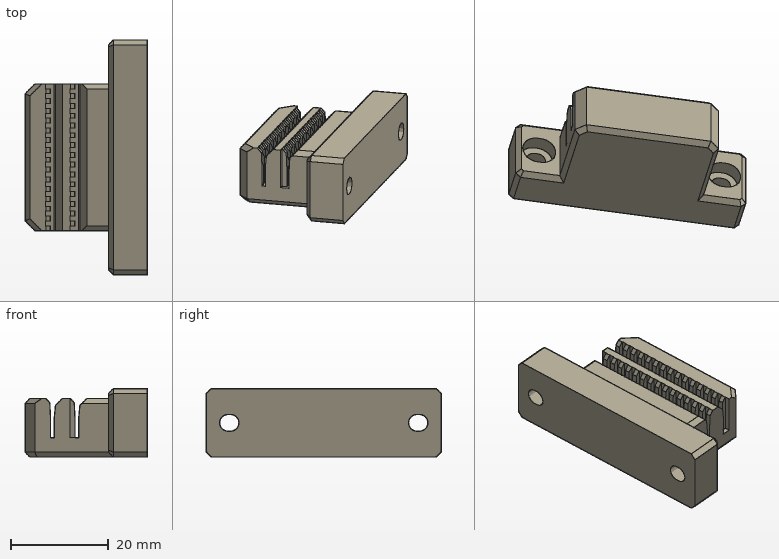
import cadquery as cq

LENGTH = 48.0
DEPTH = 25.0
HEIGHT = 14.0
EDGE_CHAMFER = 1.0

PLATE_THICKNESS = 7.95
PLATE_FRONT = DEPTH - PLATE_THICKNESS

BLOCK_WIDTH = 30.0
BLOCK_HEIGHT = 12.0
CORNER_CHAMFER = 2.0

SLOT_ROOTS = (4.2, 9.15)
SLOT_FLOOR = 4.0
TAPER_START = 8.0

SLOT_WALL = 1.8
MOUTH_WALL = 2.0
MOUTH_CHAMFER = 1.45
MOUTH_TOP = MOUTH_WALL + MOUTH_CHAMFER

TOOTH_TIP = 1.05
TOOTH_SHOULDER = 0.9
TOOTH_SHOULDER_DROP = 0.9
TOOTH_TOP = 0.1
TEETH_PERIODS = 15
TOOTH_PITCH = BLOCK_WIDTH / TEETH_PERIODS
TOOTH_WIDTH = TOOTH_PITCH / 2

HOLE_SPACING = 38.6
HOLE_DIAMETER = 3.35
COUNTERBORE_DIAMETER = 6.3
HOLE_STRETCH = 0.55
COUNTERBORE_DEPTH = 3.15

CENTERED_IN_Y = (False, True, False)


def make_plate():
    """Plate with bevelled long edges and a bevelled -X face."""
    plate = cq.Workplane("XY").box(PLATE_THICKNESS, LENGTH, HEIGHT, centered=CENTERED_IN_Y)
    plate = plate.edges("|X").chamfer(EDGE_CHAMFER)
    plate = plate.faces("<X").chamfer(EDGE_CHAMFER)
    return plate.translate((PLATE_FRONT, 0, 0))


def make_block():
    """Block with cut corners; it reaches past the bevel of the plate."""
    block_end = PLATE_FRONT + EDGE_CHAMFER
    block = cq.Workplane("XY").box(block_end, BLOCK_WIDTH, BLOCK_HEIGHT, centered=CENTERED_IN_Y)
    block = block.edges("|Z and <X").chamfer(CORNER_CHAMFER)
    bottom_rim = block.faces("<Z").edges("not(>X)")
    block = bottom_rim.chamfer(EDGE_CHAMFER)
    front_rim = block.faces(">Z").edges("not(|X or >X)")
    return front_rim.chamfer(EDGE_CHAMFER)


def extrude_profile(points, y_start, width):
    """Extrude an XZ outline along +Y, starting at y_start."""
    outline = cq.Workplane("XZ", origin=(0, y_start, 0)).polyline(points).close()
    return outline.extrude(-width)


def make_slot(root):
    """Full slot, as wide as the gaps between the belt teeth."""
    points = [
        (root, SLOT_FLOOR),
        (root + SLOT_WALL, SLOT_FLOOR),
        (root + SLOT_WALL, TAPER_START),
        (root + MOUTH_WALL, BLOCK_HEIGHT - MOUTH_CHAMFER),
        (root + MOUTH_TOP, BLOCK_HEIGHT),
        (root, BLOCK_HEIGHT),
    ]
    return extrude_profile(points, -BLOCK_WIDTH / 2, BLOCK_WIDTH)


def make_tooth(root, y_start):
    """One belt tooth standing on the -X wall of a slot."""
    points = [
        (root, SLOT_FLOOR),
        (root + TOOTH_TIP, SLOT_FLOOR),
        (root + TOOTH_TIP, TAPER_START),
        (root + TOOTH_SHOULDER, BLOCK_HEIGHT - TOOTH_SHOULDER_DROP),
        (root + TOOTH_TOP, BLOCK_HEIGHT),
        (root, BLOCK_HEIGHT),
    ]
    return extrude_profile(points, y_start, TOOTH_WIDTH)


def make_side_bevel(side):
    """Triangular bar that bevels one top side edge behind the second slot."""
    start = SLOT_ROOTS[-1] + SLOT_WALL
    edge = side * BLOCK_WIDTH / 2
    inner = edge - side * EDGE_CHAMFER
    points = [
        (edge, BLOCK_HEIGHT - EDGE_CHAMFER),
        (edge, BLOCK_HEIGHT),
        (inner, BLOCK_HEIGHT),
    ]
    outline = cq.Workplane("YZ", origin=(start, 0, 0)).polyline(points).close()
    return outline.extrude(PLATE_FRONT + EDGE_CHAMFER - start)


def make_stretched_bore(diameter, start, depth):
    """Pair of Y-elongated bores along X, one at each end of the plate."""
    plane = cq.Workplane("YZ", origin=(start, 0, HEIGHT / 2))
    centers = [(-HOLE_SPACING / 2, 0), (HOLE_SPACING / 2, 0)]
    return plane.pushPoints(centers).slot2D(diameter + HOLE_STRETCH, diameter).extrude(depth)


block = make_block()
for side in (-1, 1):
    block = block.cut(make_side_bevel(side))

for index, root in enumerate(SLOT_ROOTS):
    block = block.cut(make_slot(root))
    first_tooth = -BLOCK_WIDTH / 2 + index * TOOTH_WIDTH
    for period in range(TEETH_PERIODS):
        block = block.union(make_tooth(root, first_tooth + period * TOOTH_PITCH))

result = make_plate().union(block)
result = result.cut(make_stretched_bore(HOLE_DIAMETER, PLATE_FRONT, PLATE_THICKNESS))
result = result.cut(make_stretched_bore(COUNTERBORE_DIAMETER, PLATE_FRONT, COUNTERBORE_DEPTH))